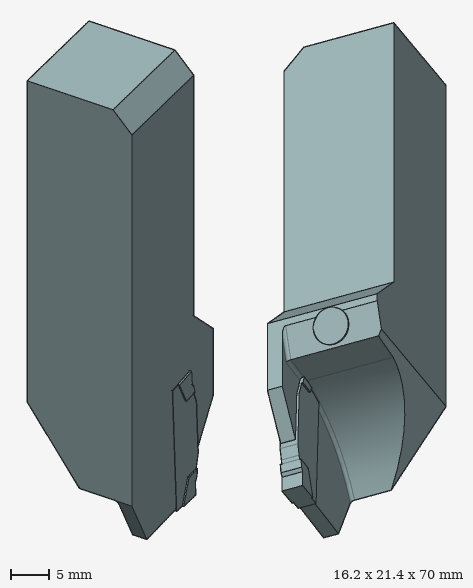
import cadquery as cq
import math

total_height = 70
overall_width = 16.25
shank_size = 15.95
top_bevel_width = 2.9
top_bevel_height = 3.0
head_depth = 21.0
head_top = 23.5
shoulder_base = head_top + head_depth - shank_size

cheek_slant_top = 22.4
cheek_corner = (19.45, 17.9)
cheek_arc_start = (14.55, 17.65)
cheek_arc_mid = (5.3, 13.85)
cheek_foot = 7.7
root_fillet = 0.5
fillet_search_base = 11.9
side_bevel_width = 8.0
side_bevel_top = 18.7

blade_side = 13.8
blade_thickness = shank_size - blade_side
blade_outline = [
    (0, cheek_foot),
    (3.85, 0.1),
    (11.5, 0.4),
    (16.0, 5.6),
    (17.0, 6.9),
    (head_depth, 12.9),
    (head_depth, head_top),
    (0, head_top),
]

screw_diameter = 5.05
screw_x = 6.9
screw_stand_out = 0.2
screw_embedded = 0.7

insert_tilt = 3.0
insert_base_y = 10.9
body_width = 2.6
cutting_width = 3.0
insert_center_x = overall_width - cutting_width / 2
tip_z = 10.2
back_z = 9.95
tip_depth = 4.55
breaker_z = 8.0
breaker_depth = 4.6
shoulder_z = 7.5
shoulder_depth = 5.0
cutter_z = 6.3
cutter_depth = 5.25
neck_z = 5.75
neck_depth = 5.4
ridge_z = 4.2
ridge_depth = 5.9
cutter_inner_depth = 3.0
cutter_end_depth = 1.4
tilt_angle = math.radians(insert_tilt)
insert_base_z = tip_z * math.cos(tilt_angle) - tip_depth * math.sin(tilt_angle)


def prism(points, x_start, thickness):
    """Extrude a closed (Y, Z) outline along X."""
    return cq.Workplane("YZ", origin=(x_start, 0, 0)).polyline(points).close().extrude(thickness)


def make_upper_body():
    """Shank and cheek, full width up to the face of the blade."""
    cheek = (
        cq.Workplane("YZ")
        .moveTo(0, head_top)
        .lineTo(head_depth, head_top)
        .lineTo(head_depth, cheek_slant_top)
        .lineTo(*cheek_corner)
        .lineTo(*cheek_arc_start)
        .threePointArc(cheek_arc_mid, (0, cheek_foot))
        .close()
        .extrude(blade_side)
    )
    shank_outline = [
        (0, head_top),
        (0, total_height),
        (shank_size, total_height),
        (shank_size, shoulder_base),
        (head_depth, head_top),
    ]
    return prism(shank_outline, 0, shank_size).union(cheek)


def add_root_fillet(holder):
    """Round the inner corner where the cheek stands on the blade."""
    margin = 0.1
    root_edges = cq.selectors.BoxSelector(
        (blade_side - margin, 0, fillet_search_base),
        (blade_side + margin, head_depth - margin, head_top - margin),
    )
    return holder.edges(root_edges).fillet(root_fillet)


def cut_bevels(holder):
    """Bevel the top corner at +X and the lower corner at -X."""
    top_bevel = (
        cq.Workplane("XZ")
        .moveTo(shank_size - top_bevel_width, total_height)
        .lineTo(shank_size, total_height)
        .lineTo(shank_size, total_height - top_bevel_height)
        .close()
        .extrude(-head_depth)
    )
    side_bevel = (
        cq.Workplane("XZ")
        .moveTo(0, side_bevel_top)
        .lineTo(side_bevel_width, cheek_foot)
        .lineTo(0, cheek_foot)
        .close()
        .extrude(-head_depth)
    )
    return holder.cut(top_bevel).cut(side_bevel)


def make_screw_head():
    """Low disc set square on the middle of the slanted cheek face."""
    corner_y, corner_z = cheek_corner
    slant_run = head_depth - corner_y
    slant_rise = cheek_slant_top - corner_z
    normal = cq.Vector(0, slant_rise, -slant_run).normalized()
    slant_direction = cq.Vector(0, slant_run, slant_rise).normalized()
    lowest_point = cq.Vector(screw_x, corner_y, corner_z)
    center = lowest_point + slant_direction * (screw_diameter / 2 + root_fillet)
    start = center - normal * screw_embedded
    return cq.Workplane(cq.Plane(start, (1, 0, 0), normal)).circle(screw_diameter / 2).extrude(
        screw_embedded + screw_stand_out
    )


def make_insert():
    """Body with a wider cutter at each end, tilted into its seat."""
    half_profile = [
        (0, back_z),
        (tip_depth, tip_z),
        (breaker_depth, breaker_z),
        (shoulder_depth, shoulder_z),
        (cutter_depth, cutter_z),
        (neck_depth, neck_z),
        (ridge_depth, ridge_z),
    ]
    mirrored = [(depth, -z) for depth, z in reversed(half_profile)]
    insert = prism(half_profile + mirrored, -body_width / 2, body_width)
    end_slope = (tip_z - back_z) / tip_depth
    for end in (1, -1):
        cutter_profile = [
            (cutter_end_depth, end * (back_z + end_slope * cutter_end_depth)),
            (tip_depth, end * tip_z),
            (breaker_depth, end * breaker_z),
            (shoulder_depth, end * shoulder_z),
            (cutter_depth, end * cutter_z),
            (cutter_inner_depth, end * cutter_z),
        ]
        insert = insert.union(prism(cutter_profile, -cutting_width / 2, cutting_width))
    insert = insert.rotate((0, 0, 0), (1, 0, 0), insert_tilt)
    return insert.translate((insert_center_x, insert_base_y, insert_base_z))


def make_holder(insert):
    """Holder with a seat that matches the insert."""
    blade = prism(blade_outline, blade_side, blade_thickness)
    holder = add_root_fillet(make_upper_body().union(blade))
    holder = cut_bevels(holder).union(make_screw_head())
    return holder.cut(insert)


insert = make_insert()
holder = make_holder(insert)
result = cq.Compound.makeCompound([holder.val(), insert.val()])